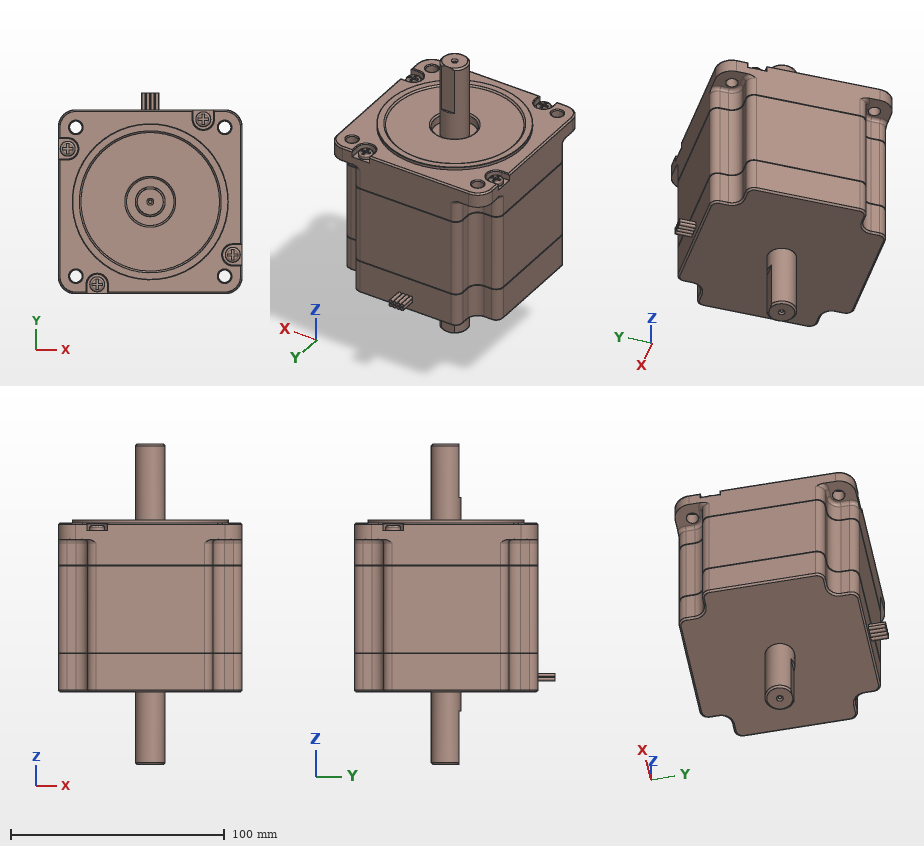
import cadquery as cq
import math


BODY_WIDTH = 86.0
HALF_WIDTH = BODY_WIDTH / 2
CAP_HEIGHT = 19.9
STACK_HEIGHT = 41.0
BASE_HEIGHT = 18.1
BODY_HEIGHT = CAP_HEIGHT + STACK_HEIGHT + BASE_HEIGHT
CORNER_RADIUS = 8.0
FLANGE_CHAMFER = 0.8
BASE_CHAMFER = 0.9
SEAM_CHAMFER = 0.2

HOLE_OFFSET = 69.6 / 2
HOLE_DIAMETER = 5.8
HOLE_CHAMFER = 0.5
FLANGE_THICKNESS = 7.6
FLUTE_RADIUS = 5.5
FLUTE_LIP_RADIUS = 4.0
FLUTE_TOP_FILLET = 1.7
FLUTE_OVERRUN = 6.0
SELECTION_MARGIN = 0.5

PILOT_DIAMETER = 73.0
PILOT_HEIGHT = 1.5
PILOT_CHAMFER = 0.2
RECESS_DIAMETER = 64.8
RECESS_DEPTH = 0.8
BORE_DIAMETER = 22.2
BORE_DEPTH = 4.8
BORE_CHAMFER = 0.8

SHAFT_DIAMETER = 14.0
SHAFT_TOP = 37.0
SHAFT_LENGTH = 150.0
SHAFT_BOTTOM = SHAFT_TOP - SHAFT_LENGTH
SHAFT_CHAMFER = 0.9
FLAT_LENGTH = 25.0
FLAT_TO_AXIS = 6.0
CENTRE_DIAMETER = 3.2
CENTRE_PILOT_DIAMETER = 1.6
CENTRE_DEPTH = 3.0

SCREW_ALONG = 24.8
SCREW_OUT = 38.6
POCKET_RADIUS = 4.75
POCKET_DEPTH = 3.5
POCKET_CHAMFER = 0.45
HEAD_DIAMETER = 7.0
HEAD_HEIGHT = 2.3
HEAD_FILLET = 1.0
CROSS_LENGTH = 4.8
CROSS_WIDTH = 1.0
CROSS_DEPTH = 1.2

WIRE_DIAMETER = 1.7
WIRE_COLUMN_PITCH = 2.1
WIRE_ROW_PITCH = 1.9
WIRE_COLUMNS = 4
WIRE_ROWS = 2
WIRE_LENGTH = 8.0
WIRE_EMBED = 2.0
WIRE_CENTRE_Z = -72.1

QUARTER_TURNS = [0, 90, 180, 270]


def turned(shape, angle):
    """Return the shape turned about the motor axis."""
    return shape.rotate((0, 0, 0), (0, 0, 1), angle)


def disc(diameter, bottom, height):
    """Return a cylinder on the motor axis."""
    return cq.Workplane("XY").workplane(offset=bottom).circle(diameter / 2).extrude(height)


def flared_disc(diameter, bottom, height):
    """Return a cone frustum that widens upwards at 45 degrees from the given diameter."""
    base = cq.Workplane("XY").workplane(offset=bottom).circle(diameter / 2)
    return base.extrude(height, taper=-45)


def section(top, height):
    """Return one square body section with rounded corners."""
    block = cq.Workplane("XY").workplane(offset=top - height).rect(BODY_WIDTH, BODY_WIDTH).extrude(height)
    return block.edges("|Z").fillet(CORNER_RADIUS)


def flute_cutter():
    """Return the void of the +X +Y corner flute, its wall rounded into the flange underside."""
    diagonal = math.sqrt(0.5)
    wall = HOLE_OFFSET - FLUTE_RADIUS
    lip_centre = HALF_WIDTH - FLUTE_LIP_RADIUS
    lip_end = wall - FLUTE_LIP_RADIUS
    lip_mid_out = lip_centre + FLUTE_LIP_RADIUS * diagonal
    lip_mid_in = lip_end + FLUTE_LIP_RADIUS * diagonal
    hollow_mid = HOLE_OFFSET - FLUTE_RADIUS * diagonal
    outside = HALF_WIDTH + FLUTE_OVERRUN
    outline = (
        cq.Workplane("XY")
        .workplane(offset=-BODY_HEIGHT - FLUTE_OVERRUN)
        .moveTo(outside, outside)
        .lineTo(outside, lip_end)
        .lineTo(HALF_WIDTH, lip_end)
        .threePointArc((lip_mid_out, lip_mid_in), (lip_centre, wall))
        .lineTo(HOLE_OFFSET, wall)
        .threePointArc((hollow_mid, hollow_mid), (wall, HOLE_OFFSET))
        .lineTo(wall, lip_centre)
        .threePointArc((lip_mid_in, lip_mid_out), (lip_end, HALF_WIDTH))
        .lineTo(lip_end, outside)
        .close()
    )
    void = outline.extrude(BODY_HEIGHT + FLUTE_OVERRUN - FLANGE_THICKNESS)
    outer_limit = HALF_WIDTH - SELECTION_MARGIN
    wall_box = cq.selectors.BoxSelector(
        (0, 0, -BODY_HEIGHT),
        (outer_limit, outer_limit, 0),
    )
    return void.faces(">Z").edges(wall_box).fillet(FLUTE_TOP_FILLET)


def body():
    """Return the fluted body, its sections meeting in fine V-shaped seams."""
    cap = section(0, CAP_HEIGHT).faces(">Z").edges().chamfer(FLANGE_CHAMFER)
    stack = section(-CAP_HEIGHT, STACK_HEIGHT)
    base = section(-CAP_HEIGHT - STACK_HEIGHT, BASE_HEIGHT)
    cutter = flute_cutter()
    for angle in QUARTER_TURNS:
        flute = turned(cutter, angle)
        cap = cap.cut(flute)
        stack = stack.cut(flute)
        base = base.cut(flute)
    cap = cap.faces("<Z").edges().chamfer(SEAM_CHAMFER)
    stack = stack.faces("<Z or >Z").edges().chamfer(SEAM_CHAMFER)
    base = base.faces(">Z").edges().chamfer(SEAM_CHAMFER)
    base = base.faces("<Z").edges().chamfer(BASE_CHAMFER)
    return cap.union(stack).union(base)


def mounting_hole_cutter():
    """Return the four mounting holes through the flange ears."""
    hole = disc(HOLE_DIAMETER, -2 * FLANGE_THICKNESS, 2 * FLANGE_THICKNESS)
    mouth = flared_disc(HOLE_DIAMETER, -HOLE_CHAMFER, HOLE_CHAMFER)
    corner_hole = hole.union(mouth).translate((HOLE_OFFSET, HOLE_OFFSET, 0))
    holes = corner_hole
    for angle in QUARTER_TURNS[1:]:
        holes = holes.union(turned(corner_hole, angle))
    return holes


def pilot():
    """Return the pilot rim with its shallow dished face."""
    boss = disc(PILOT_DIAMETER, 0, PILOT_HEIGHT).faces(">Z").edges().chamfer(PILOT_CHAMFER)
    dish = flared_disc(RECESS_DIAMETER, PILOT_HEIGHT - RECESS_DEPTH, RECESS_DEPTH)
    return boss.cut(dish)


def bore_cutter():
    """Return the chamfered shaft clearance bore, sunk from the dished pilot face."""
    face = PILOT_HEIGHT - RECESS_DEPTH
    hole = disc(BORE_DIAMETER, face - BORE_DEPTH, BORE_DEPTH)
    mouth = flared_disc(BORE_DIAMETER, face - BORE_CHAMFER, BORE_CHAMFER)
    return hole.union(mouth)


def shaft():
    """Return the through shaft with a flat and a centre hole at each end."""
    rod = disc(SHAFT_DIAMETER, SHAFT_BOTTOM, SHAFT_LENGTH).faces("<Z or >Z").edges().chamfer(SHAFT_CHAMFER)
    flat = cq.Workplane("XY").box(
        SHAFT_DIAMETER, SHAFT_DIAMETER, FLAT_LENGTH, centered=(True, False, False)
    )
    rod = rod.cut(flat.translate((0, FLAT_TO_AXIS, SHAFT_TOP - FLAT_LENGTH)))
    rod = rod.cut(flat.translate((0, FLAT_TO_AXIS, SHAFT_BOTTOM)))
    cone_depth = (CENTRE_DIAMETER - CENTRE_PILOT_DIAMETER) / 2
    centre = (
        cq.Workplane("XZ")
        .polyline([
            (0, 0),
            (CENTRE_DIAMETER / 2, 0),
            (CENTRE_PILOT_DIAMETER / 2, -cone_depth),
            (CENTRE_PILOT_DIAMETER / 2, -CENTRE_DEPTH),
            (0, -CENTRE_DEPTH),
        ])
        .close()
        .revolve(360, (0, 0, 0), (0, 1, 0))
    )
    rod = rod.cut(centre.translate((0, 0, SHAFT_TOP)))
    return rod.cut(centre.mirror("XY").translate((0, 0, SHAFT_BOTTOM)))


def pocket_outline(radius, top):
    """Return a U-shaped outline around the +Y screw, open past the flange side."""
    open_end = HALF_WIDTH + radius
    return (
        cq.Workplane("XY")
        .workplane(offset=top)
        .moveTo(SCREW_ALONG - radius, open_end)
        .lineTo(SCREW_ALONG - radius, SCREW_OUT)
        .threePointArc((SCREW_ALONG, SCREW_OUT - radius), (SCREW_ALONG + radius, SCREW_OUT))
        .lineTo(SCREW_ALONG + radius, open_end)
        .close()
    )


def pocket_cutter():
    """Return the +Y screw pocket with its chamfered rim."""
    pocket = pocket_outline(POCKET_RADIUS, -POCKET_DEPTH).extrude(POCKET_DEPTH)
    rim = pocket_outline(POCKET_RADIUS, -POCKET_CHAMFER).extrude(POCKET_CHAMFER, taper=-45)
    return pocket.union(rim)


def screw_head():
    """Return the +Y screw head with its cross recess."""
    head = disc(HEAD_DIAMETER, -POCKET_DEPTH, HEAD_HEIGHT).faces(">Z").edges().fillet(HEAD_FILLET)
    arm = cq.Workplane("XY").box(
        CROSS_LENGTH, CROSS_WIDTH, CROSS_DEPTH, centered=(True, True, False)
    )
    cross = arm.union(turned(arm, 90)).translate((0, 0, HEAD_HEIGHT - POCKET_DEPTH - CROSS_DEPTH))
    return head.cut(cross).translate((SCREW_ALONG, SCREW_OUT, 0))


def wires():
    """Return the lead wires as separate cylinders leaving the +Y side."""
    centres = cq.Workplane("XZ", origin=(0, HALF_WIDTH - WIRE_EMBED, WIRE_CENTRE_Z))
    centres = centres.rarray(WIRE_COLUMN_PITCH, WIRE_ROW_PITCH, WIRE_COLUMNS, WIRE_ROWS)
    return centres.circle(WIRE_DIAMETER / 2).extrude(-WIRE_LENGTH - WIRE_EMBED)


result = body().cut(mounting_hole_cutter()).union(pilot()).cut(bore_cutter())
for quarter in QUARTER_TURNS:
    result = result.cut(turned(pocket_cutter(), quarter))
    result = result.union(turned(screw_head(), quarter))
result = result.union(shaft()).union(wires())